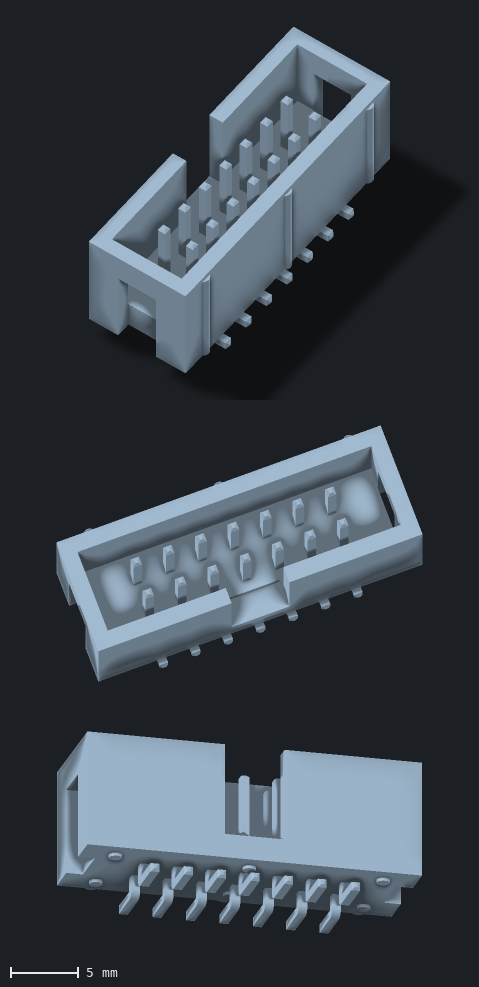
import cadquery as cq


body_width = 8.83
body_length = 25.45
body_height = 8.88
cavity_width = 6.35
cavity_length = 23.05
floor_height = 2.37

window_width = 3.45
window_top = 6.55
floor_recess = 0.08

notch_width = 4.53
notch_bottom = 1.83
notch_inner_x = -2.4

stud_diameter = 1.0
stud_positions_y = (-10.18, 0.0, 10.18)
rib_projection = 0.25
rib_top = 8.5
foot_offset_x = 2.82
foot_height = 0.25

pin_pitch = 2.55
pins_per_row = 7
pin_size = 0.65
pin_top = 7.75
leg_drop = 1.73
leg_span = 9.5
tip_length = 0.18
tip_size = 0.23
bend_radius = 0.6


def box(x_range, y_range, z_range):
    """Box given by its lower and upper limit along each axis."""
    sizes = [high - low for low, high in (x_range, y_range, z_range)]
    corner = (x_range[0], y_range[0], z_range[0])
    return cq.Workplane("XY").box(*sizes, centered=False).translate(corner)


def make_housing():
    housing = cq.Workplane("XY").box(body_width, body_length, body_height, centered=(True, True, False))
    cavity = (
        cq.Workplane("XY", origin=(0, 0, floor_height))
        .rect(cavity_width, cavity_length)
        .extrude(body_height - floor_height)
    )
    return housing.cut(cavity)


def make_end_window(side):
    """Slot through one end wall, open at the bottom and reaching slightly into the floor."""
    inner_y = side * (cavity_length / 2 - floor_recess)
    outer_y = side * body_length / 2
    return box(
        (-window_width / 2, window_width / 2),
        (min(inner_y, outer_y), max(inner_y, outer_y)),
        (0, window_top),
    )


def make_notch():
    return box(
        (-body_width / 2, notch_inner_x),
        (-notch_width / 2, notch_width / 2),
        (notch_bottom, body_height),
    )


def make_rib(y):
    """Cylinder sunk in the side wall so that only a rounded rib stands out."""
    center_x = body_width / 2 + rib_projection - stud_diameter / 2
    return cq.Workplane("XY", origin=(center_x, y, 0)).circle(stud_diameter / 2).extrude(rib_top)


def make_feet():
    positions = [(side * foot_offset_x, y) for side in (-1, 1) for y in stud_positions_y]
    return cq.Workplane("XY").pushPoints(positions).circle(stud_diameter / 2).extrude(-foot_height)


def make_tip(plane):
    """Four-sided pyramid stub that ends a pin."""
    return (
        cq.Workplane(plane)
        .rect(pin_size, pin_size)
        .workplane(offset=tip_length)
        .rect(tip_size, tip_size)
        .loft(ruled=True)
    )


def make_pin():
    """Pin of the +X row at Y = 0: an upright post bent outwards into a flat leg."""
    inner_x = pin_pitch / 2 - pin_size / 2
    outer_x = inner_x + pin_size
    leg_end_x = leg_span / 2 - tip_length
    post_end_z = pin_top - tip_length
    post = box((inner_x, outer_x), (-pin_size / 2, pin_size / 2), (-leg_drop, post_end_z))
    post = post.edges("|Y and <X and <Z").fillet(bend_radius)
    leg = box((outer_x, leg_end_x), (-pin_size / 2, pin_size / 2), (-leg_drop, pin_size - leg_drop))
    post_tip = make_tip(cq.Plane(origin=(pin_pitch / 2, 0, post_end_z)))
    leg_tip = make_tip(
        cq.Plane(origin=(leg_end_x, 0, pin_size / 2 - leg_drop), xDir=(0, 1, 0), normal=(1, 0, 0))
    )
    return post.union(leg).union(post_tip).union(leg_tip)


result = make_housing().cut(make_notch())
for side in (-1, 1):
    result = result.cut(make_end_window(side))
for rib_y in stud_positions_y:
    result = result.union(make_rib(rib_y))
result = result.union(make_feet())

right_pin = make_pin()
left_pin = right_pin.mirror("YZ")
for index in range(pins_per_row):
    pin_y = (index - (pins_per_row - 1) / 2) * pin_pitch
    for pin in (left_pin, right_pin):
        result = result.union(pin.translate((0, pin_y, 0)))